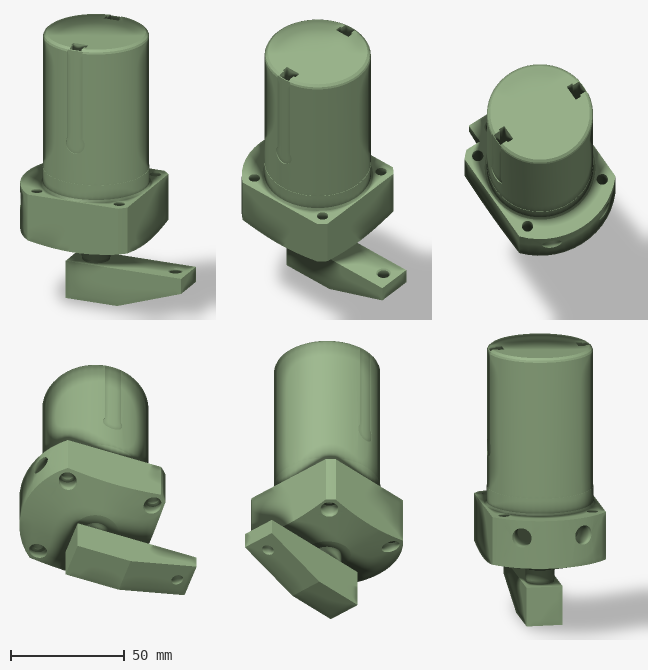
import cadquery as cq

TOTAL_HEIGHT = 124.3

ARM_HEIGHT = 17.5
ARM_WIDTH = 16.2
ARM_REAR = -11.0
ARM_TIP = 44.4
ARM_FLAT_END = 13.7
ARM_TIP_BOTTOM = 10.4
TIP_HOLE_X = 38.1
TIP_HOLE_DIAMETER = 5.2
TIP_HOLE_MOUTH_DIAMETER = 6.5
ROD_RADIUS = 6.3
ROD_NECK_RADIUS = 6.1
ROD_NECK_LENGTH = 1.4

NOSE_Z = 25.0
NOSE_RADIUS = 10.4
FLANGE_RADIUS = 33.4
FLANGE_RIM_BOTTOM = 31.5
FLANGE_TOP = 53.2
FLANGE_WIDTH = 50.8
FLANGE_FRONT = 24.9
BOLT_OFFSET = 19.8
BOLT_HOLE_DIAMETER = 5.0
BOLT_RECESS_DIAMETER = 8.0
BOLT_RECESS_TOP = 34.8
PORT_DIAMETER = 8.7
PORT_ANGLE = 24.5
PORT_Z = 45.4
PORT_DEPTH = 10.0

FOOT_RADIUS = 24.4
COLLAR_RADIUS = 23.5
FOOT_HEIGHT = FOOT_RADIUS - COLLAR_RADIUS
COLLAR_TOP = 60.9
BARREL_RADIUS = 23.4
EDGE_RADIUS = 23.0
TOP_RADIUS = 21.9
EDGE_Z = TOTAL_HEIGHT - 0.9
BARREL_TOP = TOTAL_HEIGHT - 1.7

SLOT_END_Z = 79.5
GROOVE_END_RADIUS = 4.5
SLOT_WIDTH = 7.2
MOUTH_WIDTH = 5.5
SLOT_INNER_Y = 16.5
SLOT_SHOULDER_Y = 19.4
SLOT_OUTER_RADIUS = 22.7


def make_turned_body():
    """Flange disc, conical nose and barrel as one turned shape."""
    profile = [
        (0, NOSE_Z),
        (NOSE_RADIUS, NOSE_Z),
        (FLANGE_RADIUS, FLANGE_RIM_BOTTOM),
        (FLANGE_RADIUS, FLANGE_TOP),
        (FOOT_RADIUS, FLANGE_TOP),
        (COLLAR_RADIUS, FLANGE_TOP + FOOT_HEIGHT),
        (COLLAR_RADIUS, COLLAR_TOP),
        (BARREL_RADIUS, COLLAR_TOP),
        (BARREL_RADIUS, BARREL_TOP),
        (EDGE_RADIUS, EDGE_Z),
        (TOP_RADIUS, TOTAL_HEIGHT),
        (0, TOTAL_HEIGHT),
    ]
    return cq.Workplane("XZ").polyline(profile).close().revolve(360, (0, 0, 0), (0, 1, 0))


def make_flange_envelope():
    """Block whose +X, +Y and -Y faces are the flats of the flange."""
    length = FLANGE_RADIUS + FLANGE_FRONT
    block = cq.Workplane("XY").box(length, FLANGE_WIDTH, TOTAL_HEIGHT, centered=(False, True, False))
    return block.translate((-FLANGE_RADIUS, 0, 0))


def make_bolt_holes():
    """Four through holes in the corners of the flange, counterbored from below."""
    pitch = 2 * BOLT_OFFSET
    corners = cq.Workplane("XY").rect(pitch, pitch, forConstruction=True).vertices()
    holes = corners.circle(BOLT_HOLE_DIAMETER / 2).extrude(FLANGE_TOP)
    recesses = corners.circle(BOLT_RECESS_DIAMETER / 2).extrude(BOLT_RECESS_TOP)
    return holes.union(recesses)


def make_port(angle):
    """Flat-bottomed radial port in the round side, turned by angle away from -X."""
    floor_x = -(FLANGE_RADIUS - PORT_DEPTH)
    port = cq.Workplane("YZ", origin=(floor_x, 0, PORT_Z)).circle(PORT_DIAMETER / 2).extrude(-2 * PORT_DEPTH)
    return port.rotate((0, 0, 0), (0, 0, 1), angle)


def make_t_slot():
    """T-slot on the -Y side, open at the top with a half-round lower end."""
    length = TOTAL_HEIGHT - SLOT_END_Z
    base = cq.Workplane("XY", origin=(0, 0, SLOT_END_Z))
    head_depth = SLOT_SHOULDER_Y - SLOT_INNER_Y
    head_y = -(SLOT_SHOULDER_Y + SLOT_INNER_Y) / 2
    head = base.center(0, head_y).rect(SLOT_WIDTH, head_depth).extrude(length)
    mouth_depth = BARREL_RADIUS - SLOT_SHOULDER_Y
    mouth_y = -(BARREL_RADIUS + SLOT_SHOULDER_Y) / 2
    mouth = base.center(0, mouth_y).rect(MOUTH_WIDTH, mouth_depth).extrude(length)
    round_end = (
        cq.Workplane("XZ", origin=(0, -SLOT_INNER_Y, SLOT_END_Z))
        .circle(SLOT_WIDTH / 2)
        .extrude(BARREL_RADIUS - SLOT_INNER_Y)
    )
    core = cq.Workplane("XY").circle(SLOT_OUTER_RADIUS).extrude(TOTAL_HEIGHT)
    return head.union(mouth).union(round_end).intersect(core)


def make_groove():
    """Shallow keyhole-shaped groove on the -Y side, with a floor concentric to the barrel."""
    length = TOTAL_HEIGHT - SLOT_END_Z
    depth = BARREL_RADIUS - SLOT_SHOULDER_Y
    face = cq.Workplane("XZ", origin=(0, -BARREL_RADIUS, SLOT_END_Z))
    strip = face.center(0, length).rect(SLOT_WIDTH, 2 * length).extrude(-depth)
    end = face.circle(GROOVE_END_RADIUS).extrude(-depth)
    ring = cq.Workplane("XY").circle(BARREL_RADIUS).circle(EDGE_RADIUS).extrude(TOTAL_HEIGHT)
    return strip.union(end).intersect(ring)


def make_housing():
    """Barrel, flange and all their openings."""
    housing = make_turned_body().intersect(make_flange_envelope()).cut(make_bolt_holes())
    for angle in (-PORT_ANGLE, PORT_ANGLE):
        housing = housing.cut(make_port(angle))
    for slot_cut in (make_t_slot(), make_groove()):
        housing = housing.cut(slot_cut).cut(slot_cut.mirror("XZ"))
    return housing.solids()


def make_clamp():
    """Clamp arm with the countersunk hole in its tip, and the rod that carries it."""
    outline = [
        (ARM_REAR, 0),
        (ARM_FLAT_END, 0),
        (ARM_TIP, ARM_TIP_BOTTOM),
        (ARM_TIP, ARM_HEIGHT),
        (ARM_REAR, ARM_HEIGHT),
    ]
    arm = cq.Workplane("XZ").polyline(outline).close().extrude(ARM_WIDTH / 2, both=True)
    tip_hole = cq.Workplane("XY", origin=(TIP_HOLE_X, 0, ARM_HEIGHT))
    arm = arm.cut(tip_hole.circle(TIP_HOLE_DIAMETER / 2).extrude(-ARM_HEIGHT))
    countersink = (TIP_HOLE_MOUTH_DIAMETER - TIP_HOLE_DIAMETER) / 2
    arm = arm.cut(tip_hole.circle(TIP_HOLE_MOUTH_DIAMETER / 2).extrude(-countersink, taper=45))
    rod_profile = [
        (0, ARM_HEIGHT),
        (ROD_NECK_RADIUS, ARM_HEIGHT),
        (ROD_RADIUS, ARM_HEIGHT + ROD_NECK_LENGTH),
        (ROD_RADIUS, NOSE_Z),
        (0, NOSE_Z),
    ]
    rod = cq.Workplane("XZ").polyline(rod_profile).close().revolve(360, (0, 0, 0), (0, 1, 0))
    return arm.union(rod).solids()


housing = make_housing()
clamp = make_clamp()

result = cq.Compound.makeCompound([housing.val(), clamp.val()])